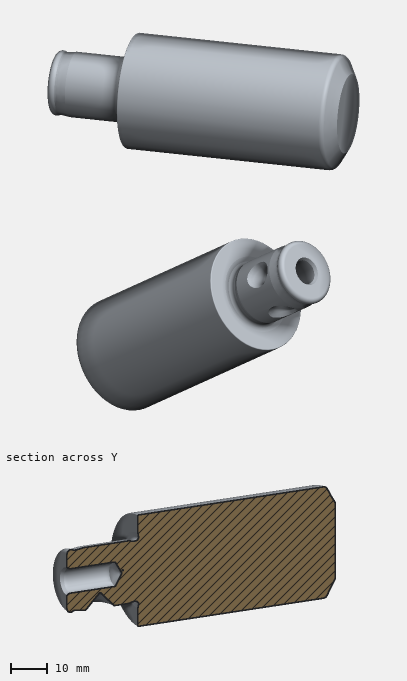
import cadquery as cq
import math

total_length = 83.5

body_diameter = 32.0
body_radius = body_diameter / 2
body_start = 22.05
body_front_edge_radius = 0.25
end_face_radius = 10.9
end_slope_angle = 60.0
end_blend_radius = 1.5

spigot_radius = 9.0
nose_radius = 1.25
nose_length = 1.75
neck_radius = 8.7
neck_bottom_start = 2.2
neck_bottom_end = 2.6
neck_taper_end = 5.3

undercut_start = 19.4
undercut_radius = 8.7
undercut_bottom_start = 20.5
undercut_bottom_end = 21.4
dish_inner_radius = 9.5
dish_outer_radius = 10.8
dish_depth = 0.25

bore_radius = 3.4
bore_depth = 15.0
bore_mouth_radius = 3.9
bore_countersink_depth = 0.9
drill_tip_angle = 118.0

dimple_mouth_radius = 4.4
dimple_x = 10.35
dimple_clearance = 0.8


def turned_body():
    nose_center_radius = spigot_radius - nose_radius
    nose_end_radius = nose_center_radius + math.sqrt(nose_radius**2 - (nose_length - nose_radius) ** 2)
    slope = math.radians(end_slope_angle)
    slope_length = (body_radius - end_face_radius) / math.tan(slope)
    slope_corner = total_length - slope_length
    blend_reach = end_blend_radius * math.tan(slope / 2)
    blend_start = slope_corner - blend_reach
    blend_center_radius = body_radius - end_blend_radius
    blend_middle = (
        blend_start + end_blend_radius * math.sin(slope / 2),
        blend_center_radius + end_blend_radius * math.cos(slope / 2),
    )
    blend_end = (
        blend_start + end_blend_radius * math.sin(slope),
        blend_center_radius + end_blend_radius * math.cos(slope),
    )
    edge_offset = body_front_edge_radius * (1 - math.sqrt(0.5))
    dish_bottom = body_start + dish_depth

    profile = (
        cq.Workplane("XY")
        .lineTo(0, nose_center_radius)
        .threePointArc((nose_radius, spigot_radius), (nose_length, nose_end_radius))
        .lineTo(neck_bottom_start, neck_radius)
        .lineTo(neck_bottom_end, neck_radius)
        .lineTo(neck_taper_end, spigot_radius)
        .lineTo(undercut_start, spigot_radius)
        .lineTo(undercut_bottom_start, undercut_radius)
        .lineTo(undercut_bottom_end, undercut_radius)
        .tangentArcPoint((dish_bottom, dish_inner_radius), relative=False)
        .lineTo(body_start, dish_outer_radius)
        .lineTo(body_start, body_radius - body_front_edge_radius)
        .threePointArc(
            (body_start + edge_offset, body_radius - edge_offset),
            (body_start + body_front_edge_radius, body_radius),
        )
        .lineTo(blend_start, body_radius)
        .threePointArc(blend_middle, blend_end)
        .lineTo(total_length, end_face_radius)
        .lineTo(total_length, 0)
        .close()
    )
    return profile.revolve(360, (0, 0, 0), (1, 0, 0))


def axial_bore():
    tip_length = bore_radius / math.tan(math.radians(drill_tip_angle / 2))
    profile = (
        cq.Workplane("XY")
        .lineTo(0, bore_mouth_radius)
        .lineTo(bore_countersink_depth, bore_radius)
        .lineTo(bore_depth, bore_radius)
        .lineTo(bore_depth + tip_length, 0)
        .close()
    )
    return profile.revolve(360, (0, 0, 0), (1, 0, 0))


def locking_dimple(direction):
    tip_radius = spigot_radius - dimple_mouth_radius
    tip = cq.Vector(dimple_x, 0, 0) + direction * tip_radius
    cone_size = dimple_mouth_radius + dimple_clearance
    return cq.Workplane(cq.Solid.makeCone(0, cone_size, cone_size, tip, direction))


result = turned_body().cut(axial_bore())
for dimple_direction in (cq.Vector(0, 1, 0), cq.Vector(0, 0, -1)):
    result = result.cut(locking_dimple(dimple_direction))